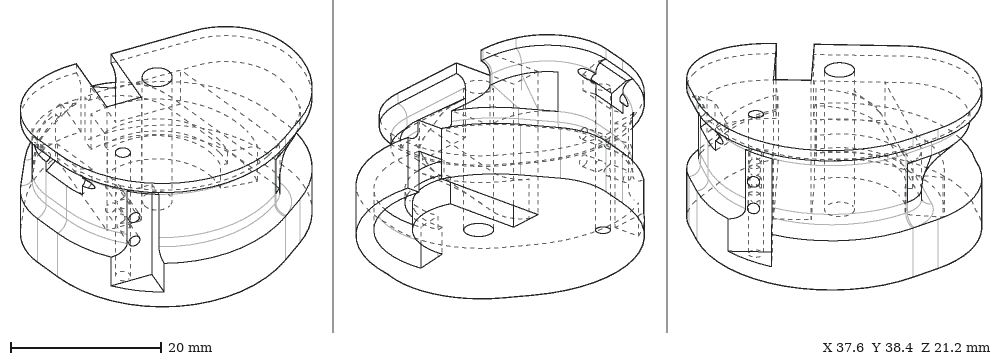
import cadquery as cq
import math

groove_radius = 1.57
base_height = 7.48
total_height = 21.17
flange_thickness = groove_radius
lower_land_top = base_height + 2 * groove_radius
flange_bottom = total_height - flange_thickness
upper_land_bottom = flange_bottom - 2 * groove_radius

slot_angle = -38.2
chord_angle = slot_angle + 180
chord_distance = 7.0

big_center = (2.45, -3.15)
big_radius = 18.5
west_center = (0.92, -2.1)
west_radius = 17.55
north_center = (2.1, -1.88)
north_radius = 18.6
corner_center = (-4.7, -10.28)
corner_radius = 9.25
east_radius = 14.08
east_center = (big_center[0] + big_radius - east_radius, 1.05)
upper_corner_radius = 10.5
lower_corner_radius = 10.35
lower_corner_angle = 158.8
lower_top_angle = 69.0
lower_east_radius = 6.15

slot_end = 3.0
slot_north_side = -3.65
slot_width = 5.03
axle_diameter = 4.0
peg_diameter = 2.0
peg_position = (3.38, -16.2)

channel_outer_radius = 13.95
channel_lower_radius = 8.82
channel_upper_radius = 9.82
channel_step = 4.0
channel_height = 6.05
channel_start_angle = 168
channel_end_angle = 45

notch_corner = (8.1, -16.88)
notch_floor = 2.57
notch_top = flange_bottom - groove_radius
notch_size = 11.5
side_hole_diameter = 1.6
side_hole_offset = 2.55
side_hole_heights = (9.13, 13.15)
side_hole_depth = 7.67

pocket_depth = 2.0
pocket_length = 7.02
pocket_center_height = 17.1
pocket_back_height = 2.4
pocket_mouth_height = 4.65
pin_hole_diameter = 1.45

chord_split_distance = 5.52
slot_share = 0.5
east_ramp_shares = (0.6, 0.85)

reach = 30.7
select_margin = 0.4
same_point = 0.0005


def unit(angle):
    return (math.cos(math.radians(angle)), math.sin(math.radians(angle)))


def along(point, angle, distance):
    direction = unit(angle)
    return (point[0] + distance * direction[0], point[1] + distance * direction[1])


def dot(a, b):
    return a[0] * b[0] + a[1] * b[1]


def between(a, b, share=0.5):
    return (a[0] + share * (b[0] - a[0]), a[1] + share * (b[1] - a[1]))


def direction_angle(a, b):
    return math.degrees(math.atan2(b[1] - a[1], b[0] - a[0])) % 360


def common_tangent_angle(center_a, radius_a, center_b, radius_b):
    """Normal of the outer tangent line that joins circle b to circle a going counterclockwise."""
    cosine = (radius_a - radius_b) / math.dist(center_a, center_b)
    return direction_angle(center_a, center_b) + math.degrees(math.acos(cosine))


def line_crossing(point_a, angle_a, point_b, angle_b):
    offset = (point_b[0] - point_a[0], point_b[1] - point_a[1])
    share = dot(offset, unit(angle_b + 90)) / dot(unit(angle_a), unit(angle_b + 90))
    return along(point_a, angle_a, share)


def chord_circle_center(radius, partner_center, partner_radius):
    """Centre of a circle that touches the chord line and shares a tangent with the partner circle."""
    depth = dot(partner_center, unit(chord_angle)) - (chord_distance - radius)
    rise = math.sqrt((partner_radius - radius) ** 2 - depth ** 2)
    return along(along(partner_center, chord_angle, -depth), chord_angle - 90, rise)


south_angle = common_tangent_angle(big_center, big_radius, corner_center, corner_radius)
west_angle = common_tangent_angle(corner_center, corner_radius, west_center, west_radius)

upper_corner_center = chord_circle_center(upper_corner_radius, east_center, east_radius)
upper_corner_angle = direction_angle(east_center, upper_corner_center)
chord_arc_center = chord_circle_center(east_radius, corner_center, corner_radius)
chord_arc_angle = direction_angle(chord_arc_center, corner_center)

lower_corner_center = along(west_center, lower_corner_angle, west_radius - lower_corner_radius)
lower_top_point = along(lower_corner_center, lower_top_angle, lower_corner_radius - lower_east_radius)
east_wall_x = big_center[0] + big_radius
east_center_line = (east_wall_x - lower_east_radius, 0)
lower_east_center = line_crossing(lower_top_point, lower_top_angle - 90, east_center_line, 90)

big_arc = (big_center, big_radius, south_angle, 360)
corner_arc = (corner_center, corner_radius, west_angle, south_angle)
lower_outline = [
    (lower_east_center, lower_east_radius, 0, lower_top_angle),
    (lower_corner_center, lower_corner_radius, lower_top_angle, lower_corner_angle),
    (west_center, west_radius, lower_corner_angle, west_angle),
    corner_arc,
    big_arc,
]
upper_outline = [
    (east_center, east_radius, 0, upper_corner_angle),
    (upper_corner_center, upper_corner_radius, upper_corner_angle, chord_angle),
    (chord_arc_center, east_radius, chord_angle, chord_arc_angle),
    (corner_center, corner_radius, chord_arc_angle, south_angle),
    big_arc,
]


def arc_points(arc, inset=0.0):
    """First, middle and last point of an arc moved inward by the inset."""
    center, radius, start, end = arc
    return [along(center, angle, radius - inset) for angle in (start, (start + end) / 2, end)]


def outline_prism(outline, inset, bottom, top):
    arcs = [arc_points(arc, inset) for arc in outline]
    end = arcs[-1][2]
    sketch = cq.Workplane("XY").workplane(offset=bottom).moveTo(*end)
    for first, middle, last in arcs:
        if math.dist(end, first) > same_point:
            sketch = sketch.lineTo(*first)
        sketch = sketch.threePointArc(middle, last)
        end = last
    return sketch.close().extrude(top - bottom)


def slot_box(start, end, low, high, bottom, top):
    """Box turned to the slot: start..end along the slot, low..high across it."""
    box = cq.Workplane("XY").box(end - start, high - low, top - bottom, centered=False)
    return box.translate((start, low, bottom)).rotate((0, 0, 0), (0, 0, 1), slot_angle)


def slot():
    return slot_box(-reach, slot_end, slot_north_side - slot_width, slot_north_side, 0, total_height)


def round_hole(position, diameter):
    return cq.Workplane("XY").center(*position).circle(diameter / 2).extrude(total_height)


def channel(inner_radius, height):
    """Arc-shaped channel around the axle, open at the bottom face and into the slot."""
    middle_angle = (channel_start_angle + channel_end_angle) / 2
    start, middle, end = [unit(a) for a in (channel_start_angle, middle_angle, channel_end_angle)]
    inner = [(inner_radius * x, inner_radius * y) for x, y in (start, middle, end)]
    outer = [(channel_outer_radius * x, channel_outer_radius * y) for x, y in (start, middle, end)]
    sketch = cq.Workplane("XY").moveTo(*inner[0]).threePointArc(inner[1], inner[2])
    return sketch.lineTo(*outer[2]).threePointArc(outer[1], outer[0]).close().extrude(height)


def side_notch():
    """Square-cornered recess in the outer wall, turned to the slot."""
    start = dot(notch_corner, unit(slot_angle))
    high = dot(notch_corner, unit(slot_angle + 90))
    return slot_box(start, start + notch_size, high - notch_size, high, notch_floor, notch_top)


def side_hole(height):
    """Blind hole into the notch wall that faces along the slot direction."""
    mouth = along(notch_corner, slot_angle - 90, side_hole_offset)
    inward = unit(slot_angle + 180)
    axis = cq.Plane(origin=(*mouth, height), xDir=(0, 0, 1), normal=(*inward, 0))
    return cq.Workplane(axis).circle(side_hole_diameter / 2).extrude(side_hole_depth)


def wall_plane():
    """Plane across the straight south wall at its west end: x outward, y up, normal running west."""
    start = arc_points(corner_arc, groove_radius)[2]
    return cq.Plane(
        origin=(*start, pocket_center_height),
        xDir=(*unit(south_angle), 0),
        normal=(*unit(south_angle - 90), 0),
    )


def wall_pocket():
    """Pocket in the south wall, narrowing to its back and capped by the top flange."""
    slope = (pocket_mouth_height - pocket_back_height) / 2 / pocket_depth
    back = pocket_back_height / 2
    cap = flange_bottom - pocket_center_height
    cap_start = (cap - back) / slope - pocket_depth
    profile = [
        (-pocket_depth, -back),
        (-pocket_depth, back),
        (cap_start, cap),
        (groove_radius, cap),
        (groove_radius, -pocket_mouth_height / 2),
        (0, -pocket_mouth_height / 2),
    ]
    return cq.Workplane(wall_plane()).polyline(profile).close().extrude(-pocket_length)


def pin_hole():
    """Cross hole lying on the wall line, so it runs out of the curved wall on both sides of the pocket."""
    return cq.Workplane(wall_plane()).circle(pin_hole_diameter / 2).extrude(reach, both=True)


def coved_neck(outline, neck_end, flange_face, flange_back):
    """Straight neck blended by a cove into an oversize slab."""
    slab = cq.Workplane("XY").workplane(offset=flange_face).rect(2 * reach, 2 * reach)
    slab = slab.extrude(flange_back - flange_face)
    neck = outline_prism(outline, groove_radius, min(neck_end, flange_face), max(neck_end, flange_face))
    extent = reach - select_margin
    neck_foot = cq.selectors.BoxSelector(
        (-extent, -extent, flange_face - select_margin), (extent, extent, flange_face + select_margin))
    return slab.union(neck).edges(neck_foot).fillet(groove_radius)


def lower_track():
    footprint = (
        cq.Workplane("XY").center(*north_center).circle(north_radius).extrude(lower_land_top)
        .union(outline_prism(lower_outline, 0, 0, lower_land_top))
        .union(outline_prism(upper_outline, 0, 0, lower_land_top))
    )
    return coved_neck(lower_outline, lower_land_top, base_height, 0).intersect(footprint)


def upper_track():
    footprint = outline_prism(upper_outline, 0, upper_land_bottom, total_height)
    return coved_neck(upper_outline, upper_land_bottom, flange_bottom, total_height).intersect(footprint)


def core():
    lower = outline_prism(lower_outline, groove_radius, lower_land_top, upper_land_bottom)
    return lower.intersect(outline_prism(upper_outline, groove_radius, lower_land_top, upper_land_bottom))


def cam_body():
    """The cam; its flush walls stay split into faces at the top of the lower track."""
    cam = lower_track().union(upper_track().union(core()), clean=False)
    cuts = [
        slot(),
        round_hole((0, 0), axle_diameter),
        round_hole(peg_position, peg_diameter),
        channel(channel_lower_radius, channel_step),
        channel(channel_upper_radius, channel_height),
        side_notch(),
        *[side_hole(height) for height in side_hole_heights],
        wall_pocket(),
        pin_hole(),
    ]
    for cut in cuts:
        cam = cam.cut(cut, clean=False)
    return cam


def path_wire(start, path, height):
    """Closed wire through the path; a two-point step is an arc, a one-point step a line."""
    edges = []
    position = cq.Vector(*start, height)
    first = position
    for step in path:
        points = [cq.Vector(*point, height) for point in step]
        if len(points) == 2:
            edges.append(cq.Edge.makeThreePointArc(position, *points))
        else:
            edges.append(cq.Edge.makeLine(position, points[0]))
        position = points[-1]
    edges.append(cq.Edge.makeLine(position, first))
    return cq.Wire.assembleEdges(edges)


def ramp(start, lower_path, upper_path):
    """Ruled solid from the lower neck's path to the upper neck's path, without the core."""
    bottom = path_wire(start, lower_path, lower_land_top)
    top = path_wire(start, upper_path, upper_land_bottom)
    return cq.Workplane(cq.Solid.makeLoft([bottom, top], True)).cut(core())


lower_east, lower_corner, lower_west = [arc_points(arc, groove_radius) for arc in lower_outline[:3]]
upper_east, upper_corner, chord_arc = [arc_points(arc, groove_radius) for arc in upper_outline[:3]]
neck_crossing = line_crossing(lower_corner[0], lower_top_angle + 90, chord_arc[0], chord_angle - 90)


def east_ramp():
    first_split, second_split = [between(lower_east[2], neck_crossing, share) for share in east_ramp_shares]
    lower_path = [lower_east[1:], [first_split], [second_split], [neck_crossing]]
    upper_path = [upper_east[:1], upper_east[1:], upper_corner[1:], [neck_crossing]]
    return ramp(lower_east[0], lower_path, upper_path)


def west_ramps():
    """The west ramp, parted by the slot into a north and a south piece."""
    corner_overlap = arc_points((corner_center, corner_radius, chord_arc_angle, west_angle), groove_radius)
    corner_start = corner_overlap[2]
    chord_split = along(neck_crossing, chord_angle + 90, chord_split_distance)
    slot_point = between(chord_split, chord_arc[0], slot_share)
    lower_path = [
        lower_corner[:1],
        lower_corner[1:],
        lower_west[1:],
        [between(lower_west[2], corner_start)],
        [corner_start],
    ]
    upper_path = [
        [chord_split],
        [slot_point],
        chord_arc[:1],
        chord_arc[1:],
        corner_overlap[1:],
    ]
    return ramp(neck_crossing, lower_path, upper_path).cut(slot())


cam = cam_body()
ramps = [*east_ramp().vals(), *west_ramps().solids().vals()]
result = cq.Compound.makeCompound([cam.val(), *ramps])